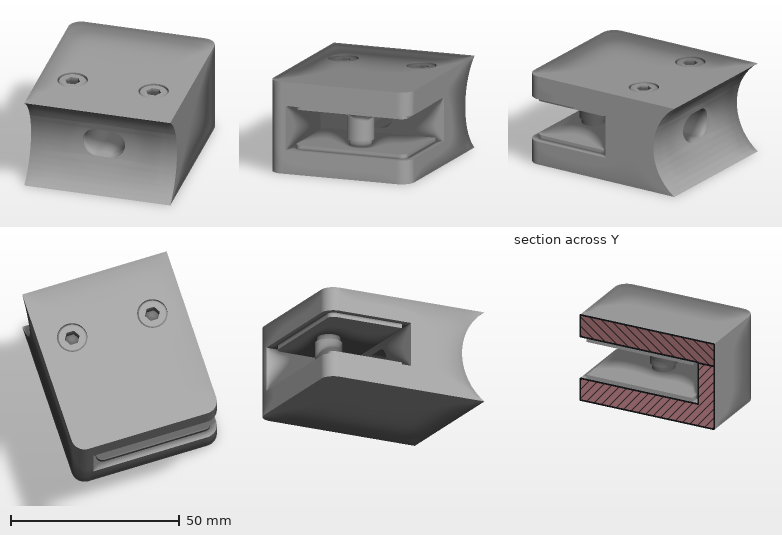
import cadquery as cq
import math

WIDTH = 45.0
LENGTH = 52.45
HEIGHT = 28.0
CORNER_RADIUS = 4.0
TUBE_RADIUS = 16.85

SLOT_HEIGHT = 13.5
SLOT_DEPTH = 27.95
SIDE_WALL = 5.55
COVER_THICKNESS = (HEIGHT - SLOT_HEIGHT) / 2
SPLIT_Z = SLOT_HEIGHT / 2
SLOT_END_Y = LENGTH - SLOT_DEPTH
SLOT_LEFT_X = -WIDTH / 2
SLOT_RIGHT_X = WIDTH / 2 - SIDE_WALL
SLOT_CENTER_X = (SLOT_LEFT_X + SLOT_RIGHT_X) / 2

OBLONG_WIDTH = 13.0
OBLONG_HEIGHT = 9.0

GASKET_INSET = 2.0
GASKET_THICKNESS = 1.35
GASKET_RADIUS = CORNER_RADIUS - GASKET_INSET
GASKET_WIDTH = SLOT_RIGHT_X - SLOT_LEFT_X - 2 * GASKET_INSET
GASKET_LENGTH = SLOT_DEPTH - 2 * GASKET_INSET

PIN_Y = 41.9
PIN_DIAMETER = 7.0
PIN_COLLAR_DIAMETER = 8.2
PIN_COLLAR_HEIGHT = 7.45
PIN_HEIGHT = SLOT_HEIGHT - 2 * GASKET_THICKNESS

SCREW_SPACING = 25.0
SCREW_Y = 17.45
HEAD_DIAMETER = 9.0
HEAD_HEIGHT = 5.0
HEAD_RECESS = 0.25
HEAD_CHAMFER = 0.5
SHANK_DIAMETER = 5.0
SHANK_DEPTH_IN_BASE = 9.95
SOCKET_FLATS = 4.0
SOCKET_DEPTH = 3.0
HEAD_TOP_Z = HEIGHT / 2 - HEAD_RECESS
HEAD_BOTTOM_Z = HEAD_TOP_Z - HEAD_HEIGHT
SHANK_BOTTOM_Z = SPLIT_Z - SHANK_DEPTH_IN_BASE
SCREW_POSITIONS = [(side * SCREW_SPACING / 2, SCREW_Y) for side in (-1, 1)]


def clamp_block(bottom_z, height):
    """A slab of the clamp outline with rounded +Y corners and the tube seat cut in its -Y side."""
    slab = (
        cq.Workplane("XY", origin=(0, LENGTH / 2, bottom_z))
        .rect(WIDTH, LENGTH)
        .extrude(height)
        .edges("|Z and >Y")
        .fillet(CORNER_RADIUS)
    )
    tube_axis_y = -math.sqrt(TUBE_RADIUS**2 - (HEIGHT / 2) ** 2)
    tube = (
        cq.Workplane("YZ", origin=(0, tube_axis_y, 0))
        .circle(TUBE_RADIUS)
        .extrude(WIDTH / 2, both=True)
    )
    return slab.cut(tube)


def cylinder(x, y, bottom_z, top_z, diameter):
    """An upright cylinder between two heights."""
    return cq.Workplane("XY", origin=(x, y, bottom_z)).circle(diameter / 2).extrude(top_z - bottom_z)


def screw_blank(x, y):
    """Head and shank of a screw, without its chamfer and socket."""
    head = cylinder(x, y, HEAD_BOTTOM_Z, HEAD_TOP_Z, HEAD_DIAMETER)
    shank = cylinder(x, y, SHANK_BOTTOM_Z, HEAD_BOTTOM_Z, SHANK_DIAMETER)
    return head.union(shank)


def make_screw(x, y):
    """A cap screw with a chamfered head and a hexagon socket, two socket flats facing +Y and -Y."""
    socket_corners = SOCKET_FLATS / math.cos(math.pi / 6)
    socket = (
        cq.Workplane("XY", origin=(x, y, HEAD_TOP_Z))
        .polygon(6, socket_corners)
        .extrude(-SOCKET_DEPTH)
    )
    return screw_blank(x, y).faces(">Z").chamfer(HEAD_CHAMFER).cut(socket)


def make_base():
    """The lower jaw with the web and the side wall that carry the cover."""
    base = clamp_block(-HEIGHT / 2, HEIGHT - COVER_THICKNESS)
    glass_slot = (
        cq.Workplane("XY", origin=(SLOT_LEFT_X, SLOT_END_Y, -SLOT_HEIGHT / 2))
        .rect(SLOT_RIGHT_X - SLOT_LEFT_X, SLOT_DEPTH, centered=False)
        .extrude(SLOT_HEIGHT)
    )
    oblong_hole = (
        cq.Workplane("XZ")
        .slot2D(OBLONG_WIDTH, OBLONG_HEIGHT)
        .extrude(-SLOT_END_Y)
    )
    base = base.cut(glass_slot).cut(oblong_hole)
    for x, y in SCREW_POSITIONS:
        base = base.cut(screw_blank(x, y))
    return base


def make_cover():
    """The upper jaw, a flat plate with the two stepped screw holes."""
    cover = clamp_block(SPLIT_Z, COVER_THICKNESS)
    for x, y in SCREW_POSITIONS:
        cover = cover.cut(screw_blank(x, y)).cut(cylinder(x, y, HEAD_TOP_Z, HEIGHT / 2, HEAD_DIAMETER))
    return cover


def make_gasket(bottom_z):
    """A flat pad with rounded corners on the open +Y side."""
    return (
        cq.Workplane("XY", origin=(SLOT_CENTER_X, SLOT_END_Y + SLOT_DEPTH / 2, bottom_z))
        .rect(GASKET_WIDTH, GASKET_LENGTH)
        .extrude(GASKET_THICKNESS)
        .edges("|Z and >Y")
        .fillet(GASKET_RADIUS)
    )


def make_pin():
    """A round pin with a wider collar at mid height."""
    core = cylinder(SLOT_CENTER_X, PIN_Y, -PIN_HEIGHT / 2, PIN_HEIGHT / 2, PIN_DIAMETER)
    collar = cylinder(
        SLOT_CENTER_X, PIN_Y, -PIN_COLLAR_HEIGHT / 2, PIN_COLLAR_HEIGHT / 2, PIN_COLLAR_DIAMETER
    )
    return core.union(collar)


base = make_base()
cover = make_cover()
gaskets = [make_gasket(z) for z in (-SLOT_HEIGHT / 2, SPLIT_Z - GASKET_THICKNESS)]
screws = [make_screw(x, y) for x, y in SCREW_POSITIONS]
pin = make_pin()

result = cq.Compound.makeCompound(
    [
        base.val(),
        cover.val(),
        *[gasket.val() for gasket in gaskets],
        *[screw.val() for screw in screws],
        pin.val(),
    ]
)